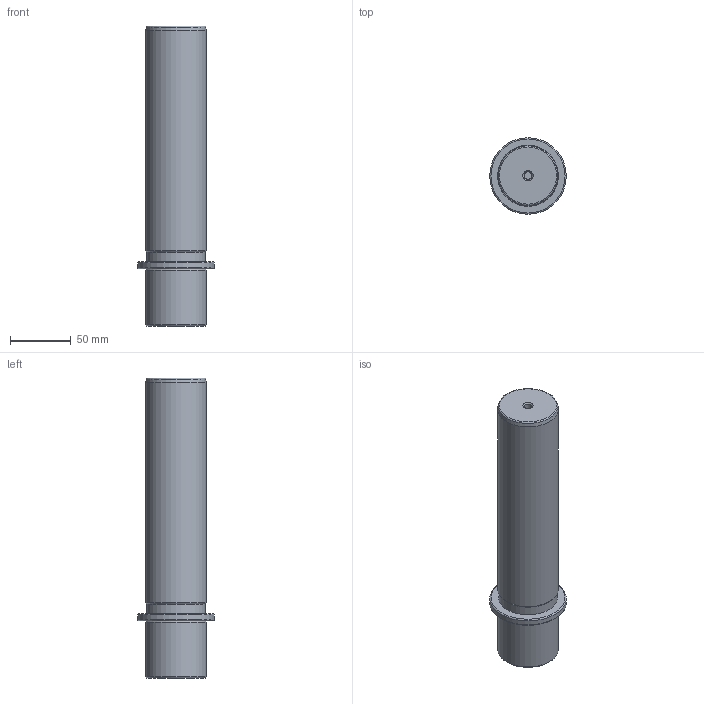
import cadquery as cq

total_length = 247.0
shaft_diameter = 50.0

end_chamfer_height = 1.0
end_chamfer_width = 0.75

collar_diameter = 63.0
collar_bottom = 47.0
collar_thickness = 6.0
collar_fillet = 1.0

neck_diameter = 48.5
neck_length = 7.75
neck_bevel_height = 1.0

lead_in_height = 4.0
lead_in_width = 0.6
top_fillet = 1.0

hole_diameter = 6.4
hole_depth = 16.0
countersink_diameter = 8.4

shaft_radius = shaft_diameter / 2
neck_radius = neck_diameter / 2
collar_radius = collar_diameter / 2
collar_top = collar_bottom + collar_thickness


def make_press_fit_end():
    """Cylinder below the collar, bevelled at both ends."""
    return (
        cq.Workplane("XZ")
        .moveTo(0, 0)
        .lineTo(shaft_radius - end_chamfer_width, 0)
        .lineTo(shaft_radius, end_chamfer_height)
        .lineTo(shaft_radius, collar_bottom - neck_bevel_height)
        .lineTo(neck_radius, collar_bottom)
        .lineTo(0, collar_bottom)
        .close()
        .revolve(360, (0, 0, 0), (0, 1, 0))
    )


def make_collar():
    """Flange with both rims rounded."""
    collar = (
        cq.Workplane("XY")
        .workplane(offset=collar_bottom)
        .circle(collar_radius)
        .extrude(collar_thickness)
    )
    return collar.faces("<Z or >Z").edges().fillet(collar_fillet)


def make_guide_shaft():
    """Long guide cylinder with a neck at the collar and a rounded lead-in at the top."""
    neck_top = collar_top + neck_length
    shaft = (
        cq.Workplane("XZ")
        .moveTo(0, collar_top)
        .lineTo(neck_radius, collar_top)
        .lineTo(neck_radius, neck_top)
        .lineTo(shaft_radius, neck_top + neck_bevel_height)
        .lineTo(shaft_radius, total_length - lead_in_height)
        .lineTo(shaft_radius - lead_in_width, total_length)
        .lineTo(0, total_length)
        .close()
        .revolve(360, (0, 0, 0), (0, 1, 0))
    )
    return shaft.faces(">Z").edges().fillet(top_fillet)


def cut_top_hole(body):
    """Blind central hole in the top face."""
    countersink_depth = (countersink_diameter - hole_diameter) / 2
    hole_bottom = total_length - hole_depth
    hole = (
        cq.Workplane("XY")
        .workplane(offset=hole_bottom)
        .circle(hole_diameter / 2)
        .extrude(hole_depth)
    )
    mouth = (
        cq.Workplane("XY")
        .workplane(offset=total_length - countersink_depth)
        .circle(hole_diameter / 2)
        .workplane(offset=countersink_depth)
        .circle(countersink_diameter / 2)
        .loft()
    )
    return body.cut(hole).cut(mouth)


pillar = make_press_fit_end().union(make_collar()).union(make_guide_shaft())
result = cut_top_hole(pillar)